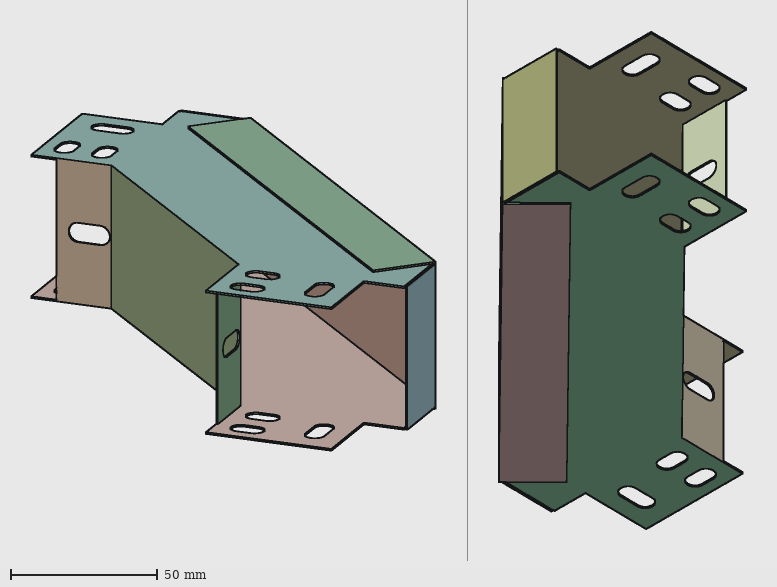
import cadquery as cq
import math

SIZE = 170.5
SHEET = 0.7
HEIGHT = 53.2

SHOULDER = 29.5
TAB_INNER = 108.4
TAB_OUTER = 154.5
FLAP_START = 9.2

FLANGE_START = 30.0
BEVEL_START = 55.5
LIP_WIDTH = 23.2
COVER_GAP = 0.3

SLOT_WIDTH = 7.0
LONG_SLOT = 15.2
SHORT_SLOT = 12.1
LONG_SLOT_ALONG = 15.5
LONG_SLOT_ACROSS = 143.8
SHORT_SLOTS_ALONG = (8.4, 22.2)
SHORT_SLOTS_ACROSS = 120.3
FLAP_SLOT_ALONG = 21.3

CHANNEL_HEIGHT = HEIGHT - 2 * SHEET
COVER_INNER = SIZE - SHEET
PLATE_OUTER = COVER_INNER - COVER_GAP
BEND_SHIFT = math.tan(math.pi / 8)
BEND_OFFSET = SHEET * BEND_SHIFT
LIP_STEP = LIP_WIDTH / math.sqrt(2)
INNER_BEVEL_START = BEVEL_START - BEND_OFFSET
PLATE_BEVEL_START = INNER_BEVEL_START - COVER_GAP * BEND_SHIFT


def mirrored(points):
    """Complete an outline that is symmetric about the line y = x."""
    return points + [(y, x) for x, y in reversed(points)]


def prism(points, bottom, height):
    return cq.Workplane("XY").workplane(offset=bottom).polyline(points).close().extrude(height)


def bent_strip(outer_face, inner_face):
    """Upright strip as high as the channel, between two faces given up to the line y = x."""
    outline = mirrored(outer_face) + list(reversed(mirrored(inner_face)))
    return prism(outline, -CHANNEL_HEIGHT / 2, CHANNEL_HEIGHT)


def plate(bottom):
    outline = mirrored([
        (SHOULDER, TAB_INNER),
        (0, TAB_INNER),
        (0, TAB_OUTER),
        (SHOULDER, TAB_OUTER),
        (SHOULDER, PLATE_OUTER),
        (PLATE_BEVEL_START, PLATE_OUTER),
    ])
    return prism(outline, bottom, SHEET)


def inner_wall():
    """Diagonal wall with a flap along the inner edge of each tab."""
    outer_face = [(FLAP_START, TAB_INNER), (SHOULDER, TAB_INNER)]
    inner_face = [(FLAP_START, TAB_INNER + SHEET), (SHOULDER + BEND_OFFSET, TAB_INNER + SHEET)]
    return bent_strip(outer_face, inner_face)


def tab_slots():
    """Cutters through both plates for the tab that points along -X."""
    long_slot = cq.Workplane("XY").center(LONG_SLOT_ALONG, LONG_SLOT_ACROSS)
    cutters = long_slot.slot2D(LONG_SLOT, SLOT_WIDTH).extrude(HEIGHT / 2, both=True)
    short_centres = [(along, SHORT_SLOTS_ACROSS) for along in SHORT_SLOTS_ALONG]
    short_slots = cq.Workplane("XY").pushPoints(short_centres)
    short_slots = short_slots.slot2D(SHORT_SLOT, SLOT_WIDTH, 90)
    return cutters.union(short_slots.extrude(HEIGHT / 2, both=True))


def flap_slot():
    """Cutter through the flap of the tab that points along -X."""
    flap = cq.Workplane("XZ", origin=(FLAP_SLOT_ALONG, TAB_INNER, 0))
    return flap.slot2D(LONG_SLOT, SLOT_WIDTH).extrude(2 * SHEET, both=True)


def swapped(cutters):
    """Reflect in the plane y = x, which carries one tab onto the other."""
    return cutters.mirror("YZ").rotate((0, 0, 0), (0, 0, 1), -90)


def make_channel():
    top = plate(CHANNEL_HEIGHT / 2 - SHEET)
    bottom = plate(-CHANNEL_HEIGHT / 2)
    body = top.union(bottom).union(inner_wall())
    for cutters in (tab_slots(), flap_slot()):
        body = body.cut(cutters).cut(swapped(cutters))
    return body


def cover_lip(bottom):
    outline = mirrored([
        (BEVEL_START, SIZE),
        (BEVEL_START - LIP_STEP, SIZE - LIP_STEP),
    ])
    return prism(outline, bottom, SHEET)


def make_cover():
    outer_face = [(FLANGE_START, SIZE), (BEVEL_START, SIZE)]
    inner_face = [(FLANGE_START, COVER_INNER), (INNER_BEVEL_START, COVER_INNER)]
    wall = bent_strip(outer_face, inner_face)
    return wall.union(cover_lip(CHANNEL_HEIGHT / 2)).union(cover_lip(-HEIGHT / 2))


channel = make_channel()
cover = make_cover()
result = cq.Compound.makeCompound([channel.val(), cover.val()])